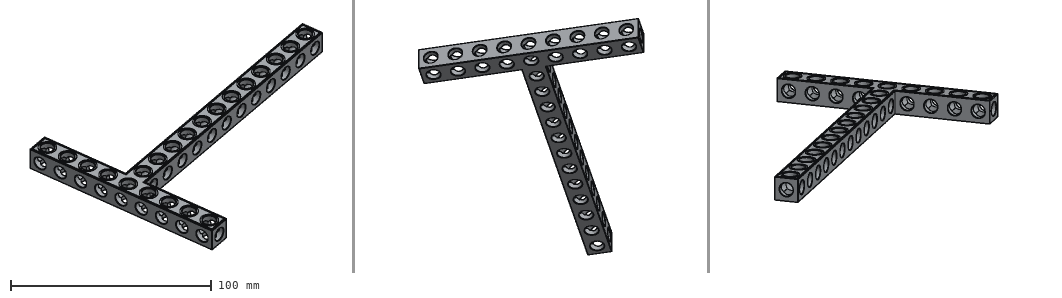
import cadquery as cq

length = 162.5
holes_along_stem = 13
holes_along_bar = 9
hole_diameter = 7.0
countersink = 0.3
collar_diameter = 9.3
rim_width = 1.0
recess_depth = 0.25
edge_chamfer = 0.3

pitch = length / holes_along_stem
half_pitch = pitch / 2
bar_length = holes_along_bar * pitch
bar_end = bar_length / 2
hole_radius = hole_diameter / 2

bar_places = [(i + 0.5) * pitch - bar_end for i in range(holes_along_bar)]
stem_places = [j * pitch for j in range(1, holes_along_stem)]
cells = [(x, 0) for x in bar_places] + [(0, y) for y in stem_places]


def beam(size_x, size_y, height, chamfer):
    """Straight beam standing on Z = 0, centred in X and Y, with its edges broken if asked."""
    block = cq.Workplane("XY").box(size_x, size_y, height, centered=(True, True, False))
    if chamfer > 0:
        block = block.edges().chamfer(chamfer)
    return block


def tee(inset, height, chamfer=0):
    """T-shaped body with its outline drawn in by inset."""
    width = pitch - 2 * inset
    bar = beam(bar_length - 2 * inset, width, height, chamfer)
    stem = beam(width, length - 2 * inset, height, chamfer)
    return bar.union(stem.translate((0, length / 2 - half_pitch, 0)))


def top_recess():
    """Shallow floor inside the rim, leaving a collar around each upright hole."""
    collars = cq.Workplane("XY").pushPoints(cells).circle(collar_diameter / 2).extrude(recess_depth)
    return tee(rim_width, recess_depth).cut(collars).translate((0, 0, pitch - recess_depth))


def through_hole(start, direction, depth):
    """Round hole with a 45 degree countersink at both ends."""
    entry = cq.Vector(*start)
    axis = cq.Vector(*direction)
    outlet = entry + axis * depth
    mouth_radius = hole_radius + countersink
    bore = cq.Solid.makeCylinder(hole_radius, depth, entry, axis)
    entry_cone = cq.Solid.makeCone(mouth_radius, hole_radius, countersink, entry, axis)
    outlet_cone = cq.Solid.makeCone(mouth_radius, hole_radius, countersink, outlet, axis * -1)
    return [bore, entry_cone, outlet_cone]


def upright_holes():
    """Holes along Z, one in every cell."""
    return [through_hole((x, y, 0), (0, 0, 1), pitch) for x, y in cells]


def lengthwise_holes():
    """Holes along Y across the bar; the one in line with the stem runs its full length."""
    middle = holes_along_bar // 2
    holes = []
    for i, x in enumerate(bar_places):
        depth = length if i == middle else pitch
        holes.append(through_hole((x, -half_pitch, half_pitch), (0, 1, 0), depth))
    return holes


def crosswise_holes():
    """Holes along X: one through the full bar, then one across each stem cell."""
    along_bar = through_hole((-bar_end, 0, half_pitch), (1, 0, 0), bar_length)
    across_stem = [through_hole((-half_pitch, y, half_pitch), (1, 0, 0), pitch) for y in stem_places]
    return [along_bar] + across_stem


result = tee(0, pitch, edge_chamfer).cut(top_recess())
for hole in upright_holes() + lengthwise_holes() + crosswise_holes():
    for cutter in hole:
        result = result.cut(cq.Workplane(obj=cutter))